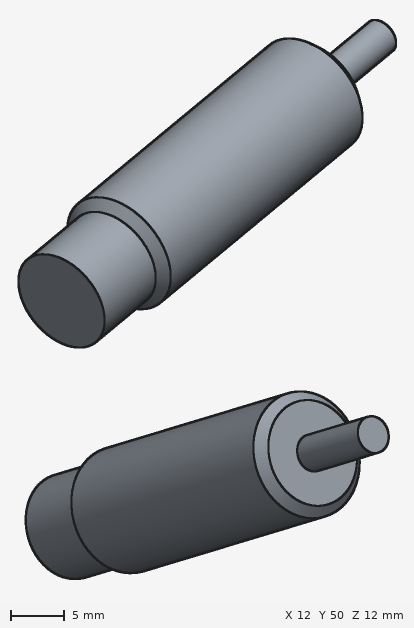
import cadquery as cq

nose_diameter = 10.0
nose_length = 8.0
body_diameter = 12.0
body_length = 32.0
cable_diameter = 3.5
cable_length = 10.0
chamfer = (body_diameter - nose_diameter) / 2

nose_face_y = 0.0
body_front_y = nose_face_y + nose_length
body_back_y = body_front_y + body_length


def cylinder_along_y(diameter, start_y, length):
    """Solid cylinder on the Y axis, growing toward +Y from start_y."""
    base = cq.Plane(origin=(0, start_y, 0), xDir=(-1, 0, 0), normal=(0, 1, 0))
    return cq.Workplane(base).circle(diameter / 2).extrude(length)


nose = cylinder_along_y(nose_diameter, nose_face_y, nose_length)

body = cylinder_along_y(body_diameter, body_front_y, body_length)
body = body.faces("<Y or >Y").edges().chamfer(chamfer)

cable = cylinder_along_y(cable_diameter, body_back_y, cable_length)

result = nose.union(body).union(cable)